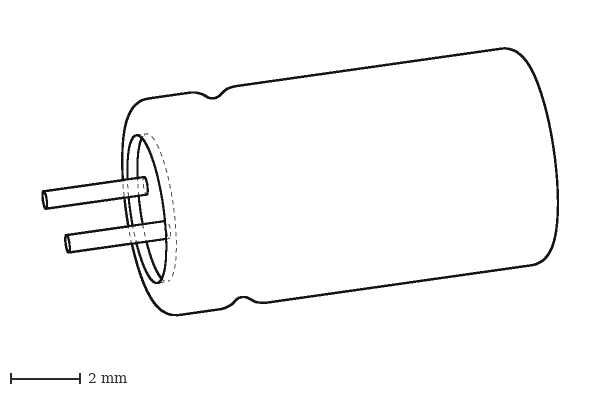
import cadquery as cq
import math

overall_length = 14.21
can_length = 11.51
can_radius = 3.148
end_radius = 0.5

groove_center = 2.42
groove_half_width = 0.67
groove_arc_radius = 0.5

recess_radius = 2.15
recess_depth = 0.3

lead_radius = 0.25
lead_spacing = 2.5
lead_length = overall_length - can_length

arc_angle = math.asin(groove_half_width / 2 / groove_arc_radius)
arc_drop = groove_arc_radius * (1 - math.cos(arc_angle))
groove_floor_radius = can_radius - 2 * arc_drop
groove_mid_radius = can_radius - arc_drop


def make_can():
    """Revolve the half outline about Y; the lead end lies at Y = 0."""
    groove_start = groove_center - groove_half_width
    groove_end = groove_center + groove_half_width
    flank_start = groove_center - groove_half_width / 2
    flank_end = groove_center + groove_half_width / 2
    outline = (
        cq.Workplane("XY")
        .lineTo(can_radius - end_radius, 0)
        .tangentArcPoint((can_radius, end_radius), relative=False)
        .lineTo(can_radius, groove_start)
        .tangentArcPoint((groove_mid_radius, flank_start), relative=False)
        .tangentArcPoint((groove_floor_radius, groove_center), relative=False)
        .tangentArcPoint((groove_mid_radius, flank_end), relative=False)
        .tangentArcPoint((can_radius, groove_end), relative=False)
        .lineTo(can_radius, can_length - end_radius)
        .tangentArcPoint((can_radius - end_radius, can_length), relative=False)
        .lineTo(0, can_length)
        .close()
    )
    return outline.revolve(360, (0, 0), (0, 1))


def make_end_recess():
    """Shallow round pocket around the leads."""
    return cq.Workplane("XZ").circle(recess_radius).extrude(-recess_depth)


def make_leads():
    """Two round leads, rooted in the floor of the recess."""
    return (
        cq.Workplane("XZ", origin=(0, recess_depth, 0))
        .pushPoints([(-lead_spacing / 2, 0), (lead_spacing / 2, 0)])
        .circle(lead_radius)
        .extrude(lead_length + recess_depth)
    )


result = make_can().cut(make_end_recess()).union(make_leads())